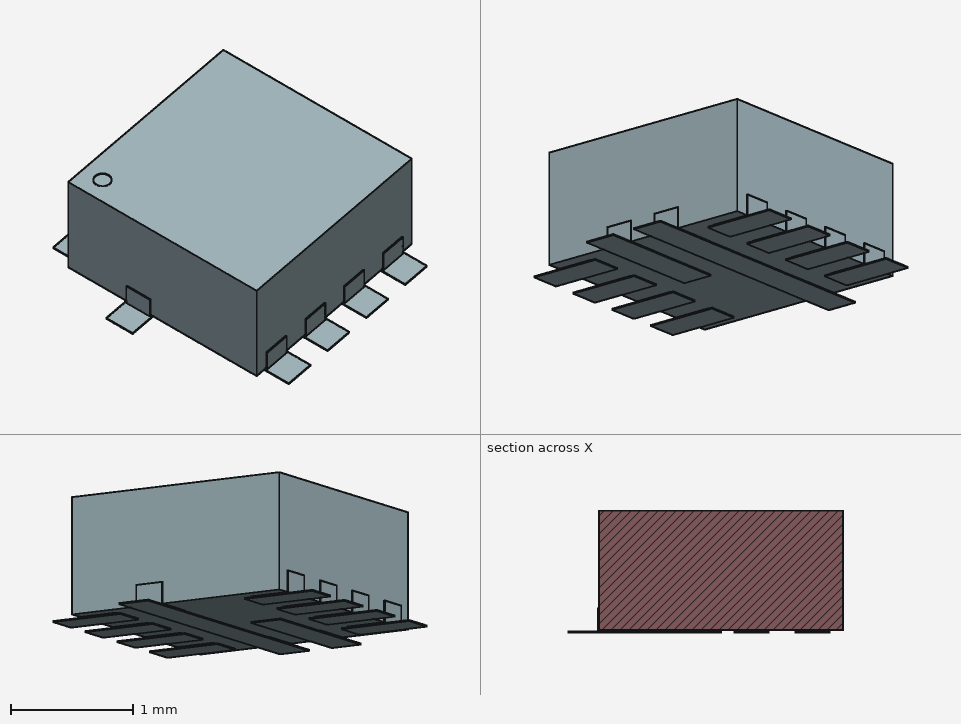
import cadquery as cq

body_size = 2.0
total_height = 1.0

lead_pitch = 0.5
foot_width = 0.28
foot_thickness = 0.01
foot_overhang = 0.25
side_foot_inset = 0.4
end_foot_inset = body_size / 2
strip_width = 0.25
strip_inset = 0.35
strip_thickness = 0.01
strip_top = 0.2
standoff = foot_thickness + strip_thickness

mark_diameter = 0.15
mark_depth = 0.01
mark_offset = -0.8

side_lead_count = 4
side_positions = [(i - (side_lead_count - 1) / 2) * lead_pitch for i in range(side_lead_count)]
rear_positions = [-lead_pitch / 2, lead_pitch / 2]
front_positions = [-lead_pitch / 2]


def box_between(x_min, x_max, width, z_min, z_max):
    """Box spanning two X and two Z levels, centred on Y = 0."""
    length = x_max - x_min
    height = z_max - z_min
    return (
        cq.Workplane("XY")
        .box(length, width, height, centered=(False, True, False))
        .translate((x_min, 0, z_min))
    )


def make_lead(foot_inset, position, angle):
    """Lead on the +X wall at the given Y, then turned about Z to its own wall."""
    wall = body_size / 2
    outer_face = wall + strip_thickness
    foot = box_between(wall - foot_inset, wall + foot_overhang, foot_width, 0, foot_thickness)
    floor = box_between(wall - strip_inset, outer_face, strip_width, foot_thickness, standoff)
    tab = box_between(wall, outer_face, strip_width, foot_thickness, strip_top)
    lead = foot.union(floor).union(tab).translate((0, position, 0))
    return lead.rotate((0, 0, 0), (0, 0, 1), angle)


def make_body():
    """Square block with a shallow round pin 1 mark in its top face."""
    block = (
        cq.Workplane("XY")
        .workplane(offset=standoff)
        .box(body_size, body_size, total_height - standoff, centered=(True, True, False))
    )
    mark = (
        cq.Workplane("XY")
        .workplane(offset=total_height - mark_depth)
        .center(mark_offset, mark_offset)
        .circle(mark_diameter / 2)
        .extrude(mark_depth)
    )
    return block.cut(mark)


result = make_body()

for y in side_positions:
    result = result.union(make_lead(side_foot_inset, y, 0))
    result = result.union(make_lead(side_foot_inset, y, 180))

for x in rear_positions:
    result = result.union(make_lead(end_foot_inset, -x, 90))

for x in front_positions:
    result = result.union(make_lead(end_foot_inset, x, -90))